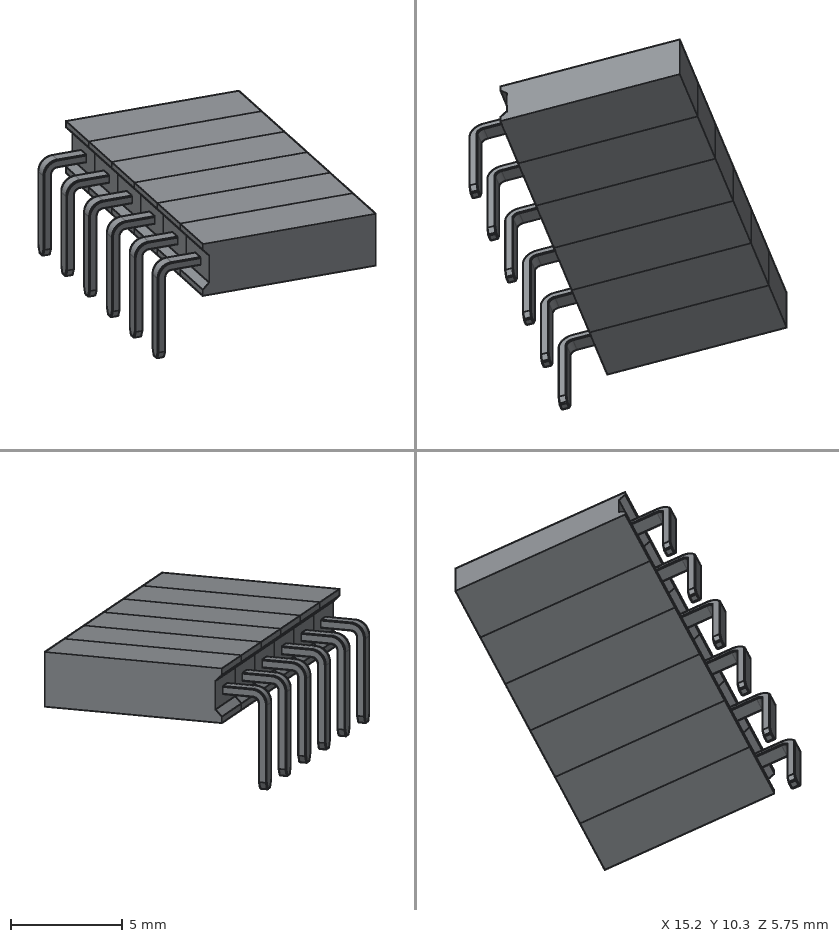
import cadquery as cq

module_count = 6
row_length = 15.24
pitch = row_length / module_count

overall_depth = 10.3
overall_height = 5.75

housing_height = 2.55
housing_depth = 8.5
groove_depth = 0.3
lip_height = 0.3
groove_bevel_height = 0.3

pin_width = 0.65
pin_thickness = 0.4
bend_inner_radius = 0.29
tip_width = 0.35
tip_length = 0.37
pin_edge_chamfer = 0.05

housing_top = housing_height / 2
housing_front = -housing_depth
groove_floor = housing_front + groove_depth
pin_front = -overall_depth
pin_bottom = housing_top - overall_height


def make_housing():
    """Housing block of one module, centred on X = 0."""
    lip_edge = housing_top - lip_height
    groove_edge = lip_edge - groove_bevel_height
    return (
        cq.Workplane("YZ")
        .moveTo(0, housing_top)
        .lineTo(housing_front, housing_top)
        .lineTo(housing_front, lip_edge)
        .lineTo(groove_floor, groove_edge)
        .lineTo(groove_floor, -groove_edge)
        .lineTo(housing_front, -lip_edge)
        .lineTo(housing_front, -housing_top)
        .lineTo(0, -housing_top)
        .close()
        .extrude(pitch / 2, both=True)
    )


def cut_tip_taper(pin):
    """Narrow the lower end of the pin symmetrically in X."""
    half_width = pin_width / 2
    half_tip = tip_width / 2
    for side in (-1, 1):
        wedge = (
            cq.Workplane("XZ", origin=(0, pin_front, 0))
            .moveTo(side * half_width, pin_bottom)
            .lineTo(side * half_tip, pin_bottom)
            .lineTo(side * half_width, pin_bottom + tip_length)
            .close()
            .extrude(-pin_thickness)
        )
        pin = pin.cut(wedge)
    return pin


def make_pin():
    """Pin that leaves the groove floor forwards and bends down to its tapered tip."""
    axis_y = pin_front + pin_thickness / 2
    axis_radius = bend_inner_radius + pin_thickness / 2
    axis = (
        cq.Workplane("YZ")
        .moveTo(groove_floor, 0)
        .lineTo(axis_y + axis_radius, 0)
        .radiusArc((axis_y, -axis_radius), -axis_radius)
        .lineTo(axis_y, pin_bottom)
    )
    bar = cq.Workplane("XZ", origin=(0, groove_floor, 0)).rect(pin_width, pin_thickness).sweep(axis)
    pin = cut_tip_taper(bar)
    outer_edges = pin.faces("#X").edges("(not (|X or >Y)) or <Z")
    return outer_edges.chamfer(pin_edge_chamfer)


def make_module(centre_x):
    """One solid module: a housing block with its pin, centred on the given X."""
    module = make_housing().union(make_pin())
    return module.translate((centre_x, 0, 0))


modules = [make_module((index + 0.5) * pitch) for index in range(module_count)]

result = cq.Compound.makeCompound([module.val() for module in modules])